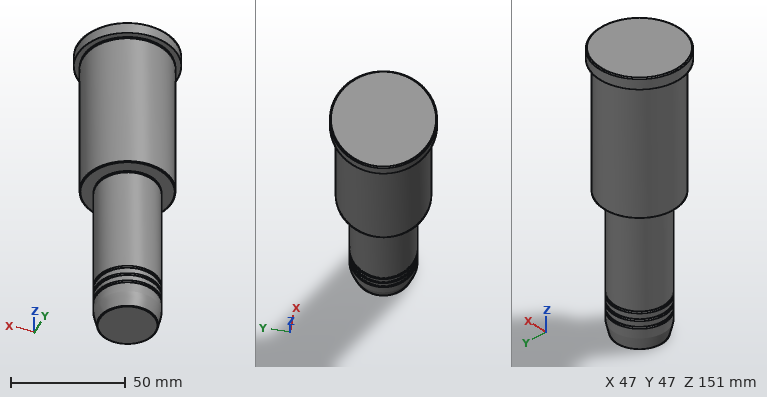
import cadquery as cq

total_height = 151.0
head_radius = 23.48
head_thickness = 6.0
body_radius = 21.0
body_bottom = 74.7
shank_radius = 15.0

edge_chamfer = 0.6
foot_chamfer = 0.5
relief_height = 0.9
relief_depth = 0.3

groove_radius = 0.53
lowest_groove_center = 12.7
groove_pitch = 4.1
groove_count = 3

nose_height = 7.1
nose_tip_radius = 13.3
nose_mid_radius = 14.2
tip_chamfer = 0.3

head_bottom = total_height - head_thickness


def cylinder(radius, bottom, top):
    """Upright cylinder on the Z axis between two heights."""
    return cq.Workplane("XY").workplane(offset=bottom).circle(radius).extrude(top - bottom)


def ring_cut(radius, depth, bottom, height):
    """Ring that removes a shallow band from a cylinder of the given radius."""
    return cylinder(radius + depth, bottom, bottom + height).cut(
        cylinder(radius - depth, bottom, bottom + height)
    )


def round_groove(center_height):
    """Ring of round section centred on the shank surface."""
    return (
        cq.Workplane("XZ")
        .center(shank_radius, center_height)
        .circle(groove_radius)
        .revolve(360, (-shank_radius, 0, 0), (-shank_radius, 1, 0))
    )


def make_head():
    return cylinder(head_radius, head_bottom, total_height).faces(">Z").edges().chamfer(edge_chamfer)


def make_body():
    """Body with a chamfered foot and a relief just under the head."""
    relief_bottom = head_bottom - relief_height
    body = cylinder(body_radius, body_bottom, head_bottom)
    body = body.faces("<Z").edges().chamfer(foot_chamfer)
    return body.cut(ring_cut(body_radius, relief_depth, relief_bottom, relief_height))


def make_shank():
    """Shank with a relief under the body and evenly spaced half-round grooves."""
    shank = cylinder(shank_radius, nose_height, body_bottom)
    shank = shank.cut(
        ring_cut(shank_radius, relief_depth, body_bottom - relief_height, relief_height)
    )
    for index in range(groove_count):
        groove_center = lowest_groove_center + index * groove_pitch
        shank = shank.cut(round_groove(groove_center))
    return shank


def make_nose():
    """Lead-in nose with a bulged side and a chamfered tip."""
    nose = (
        cq.Workplane("XZ")
        .lineTo(nose_tip_radius, 0)
        .threePointArc((nose_mid_radius, nose_height / 2), (shank_radius, nose_height))
        .lineTo(0, nose_height)
        .close()
        .revolve(360, (0, 0, 0), (0, 1, 0))
    )
    return nose.faces("<Z").edges().chamfer(tip_chamfer)


result = make_head().union(make_body()).union(make_shank()).union(make_nose())